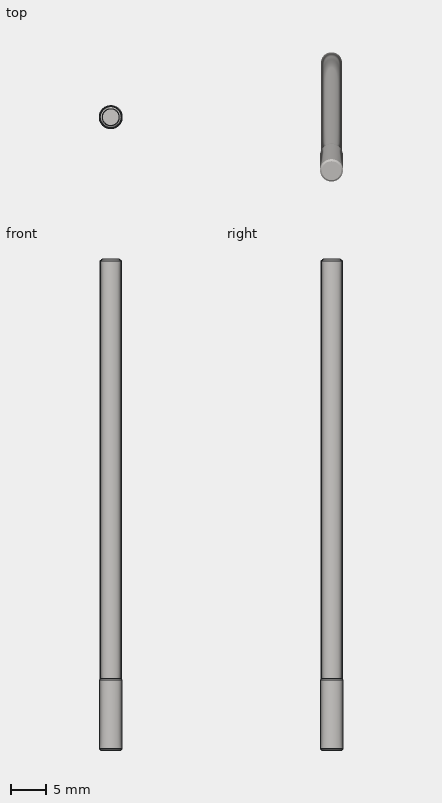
import cadquery as cq
import math

total_length = 70.0

tip_diameter = 3.27
tip_straight_length = 10.0
tip_chamfer = 0.25

shank_diameter = 3.0
shank_chamfer = 0.3

cone_slope = math.radians(60)
cone_height = (tip_diameter - shank_diameter) / 2 * math.tan(cone_slope)
joint_height = tip_straight_length + cone_height


def make_tip():
    """Short rod with a chamfered lower end and a cone up to the shank."""
    tip_radius = tip_diameter / 2
    half_profile = (
        cq.Workplane("XZ")
        .lineTo(tip_radius - tip_chamfer, 0)
        .lineTo(tip_radius, tip_chamfer)
        .lineTo(tip_radius, tip_straight_length)
        .lineTo(shank_diameter / 2, joint_height)
        .lineTo(0, joint_height)
        .close()
    )
    return half_profile.revolve(360, (0, 0, 0), (0, 1, 0))


def make_shank():
    """Long rod that stands on the tip, with a chamfered upper end."""
    joint_plane = cq.Workplane("XY").workplane(offset=joint_height)
    rod = joint_plane.circle(shank_diameter / 2).extrude(total_length - joint_height)
    return rod.faces(">Z").chamfer(shank_chamfer)


tip = make_tip()
shank = make_shank()

result = cq.Compound.makeCompound([tip.val(), shank.val()])